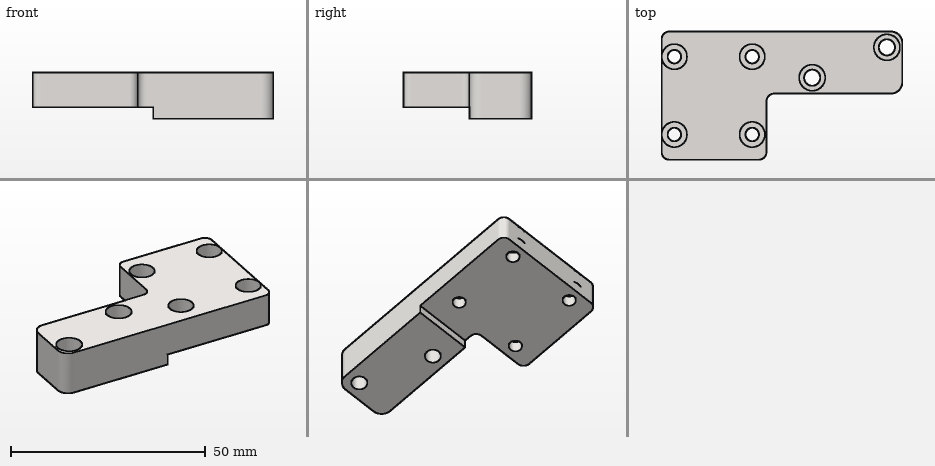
import cadquery as cq

LENGTH = 61.92
WIDTH = 33.0
HEIGHT = 12.0

BODY_LENGTH = 27.0
ARM_WIDTH = 16.0
ARM_EDGE_Y = WIDTH - ARM_WIDTH
BODY_CORNER_RADIUS = 2.0
ARM_CORNER_RADIUS = 3.0

PAD_HEIGHT = 3.0
PAD_START_X = 31.0

COUNTERBORE_DEPTH = 5.0

BODY_HOLE_DIAMETER = 3.4
BODY_COUNTERBORE_DIAMETER = 6.5
BODY_HOLE_SPACING = 20.0
THIN_WALL = 0.05
BODY_HOLE_X = BODY_COUNTERBORE_DIAMETER / 2 + THIN_WALL
BODY_HOLE_Y = (WIDTH - BODY_HOLE_SPACING) / 2

ARM_HOLE_DIAMETER = 4.1
ARM_COUNTERBORE_DIAMETER = 6.7
ARM_HOLE_END_DISTANCE = 4.0
ARM_HOLE_SIDE_DISTANCE = 4.1
ARM_HOLE_SPACING_X = 19.2


def make_plate():
    """L-shaped block of full height with rounded upright edges."""
    outline = [
        (0, 0),
        (BODY_LENGTH, 0),
        (BODY_LENGTH, ARM_EDGE_Y),
        (LENGTH, ARM_EDGE_Y),
        (LENGTH, WIDTH),
        (0, WIDTH),
    ]
    block = cq.Workplane("XY").polyline(outline).close().extrude(HEIGHT)
    block = block.edges("|Z and (not >X)").fillet(BODY_CORNER_RADIUS)
    return block.edges("|Z and >X").fillet(ARM_CORNER_RADIUS)


def cut_underside(plate):
    """Remove the material beside the pad, leaving the pad standing below the arm."""
    relief = cq.Workplane("XY").box(PAD_START_X, WIDTH, PAD_HEIGHT, centered=False)
    return plate.cut(relief)


def cut_counterbored_holes(plate, centers, hole_diameter, counterbore_diameter):
    """Drill through holes with flat counterbores from the top face."""
    top = cq.Workplane("XY").workplane(offset=HEIGHT).pushPoints(centers)
    holes = top.circle(hole_diameter / 2).extrude(-HEIGHT)
    counterbores = top.circle(counterbore_diameter / 2).extrude(-COUNTERBORE_DEPTH)
    return plate.cut(holes).cut(counterbores)


body_hole_centers = [
    (BODY_HOLE_X + column * BODY_HOLE_SPACING, BODY_HOLE_Y + row * BODY_HOLE_SPACING)
    for column in range(2)
    for row in range(2)
]

outer_hole_x = LENGTH - ARM_HOLE_END_DISTANCE
arm_hole_centers = [
    (outer_hole_x, WIDTH - ARM_HOLE_SIDE_DISTANCE),
    (outer_hole_x - ARM_HOLE_SPACING_X, ARM_EDGE_Y + ARM_HOLE_SIDE_DISTANCE),
]

result = cut_underside(make_plate())
result = cut_counterbored_holes(
    result, body_hole_centers, BODY_HOLE_DIAMETER, BODY_COUNTERBORE_DIAMETER
)
result = cut_counterbored_holes(
    result, arm_hole_centers, ARM_HOLE_DIAMETER, ARM_COUNTERBORE_DIAMETER
)